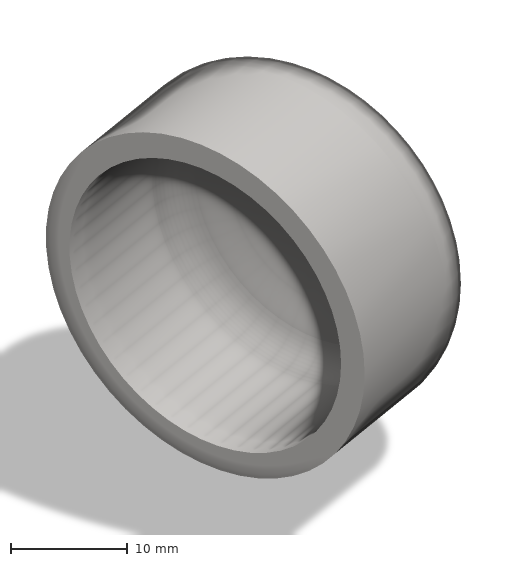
import cadquery as cq
import math

outer_diameter = 33.7
inner_diameter = 28.7
total_length = 20.0
inner_crown_radius = outer_diameter
inner_knuckle_radius = 0.1 * outer_diameter

outer_radius = outer_diameter / 2
inner_radius = inner_diameter / 2
wall = outer_radius - inner_radius
outer_crown_radius = inner_crown_radius + wall

knuckle_center_x = inner_radius - inner_knuckle_radius
tangent_angle = math.asin(knuckle_center_x / (inner_crown_radius - inner_knuckle_radius))
crown_center_y = total_length - outer_crown_radius
skirt_length = crown_center_y + knuckle_center_x / math.tan(tangent_angle)


def arc_point(center_x, center_y, radius, angle):
    """Point on an arc, with the angle measured from the +Y axis."""
    return (center_x + radius * math.sin(angle), center_y + radius * math.cos(angle))


def capped_solid(radius, knuckle_radius, crown_radius):
    """Solid cylinder from the rim plane, closed by a knuckle and a spherical crown."""
    knuckle_mid_angle = (tangent_angle + math.pi / 2) / 2
    return (
        cq.Workplane("XY")
        .lineTo(radius, 0)
        .lineTo(radius, skirt_length)
        .threePointArc(
            arc_point(knuckle_center_x, skirt_length, knuckle_radius, knuckle_mid_angle),
            arc_point(knuckle_center_x, skirt_length, knuckle_radius, tangent_angle),
        )
        .threePointArc(
            arc_point(0, crown_center_y, crown_radius, tangent_angle / 2),
            (0, crown_center_y + crown_radius),
        )
        .close()
        .revolve(360, (0, 0), (0, 1))
    )


body = capped_solid(outer_radius, inner_knuckle_radius + wall, outer_crown_radius)
cavity = capped_solid(inner_radius, inner_knuckle_radius, inner_crown_radius)
result = body.cut(cavity)